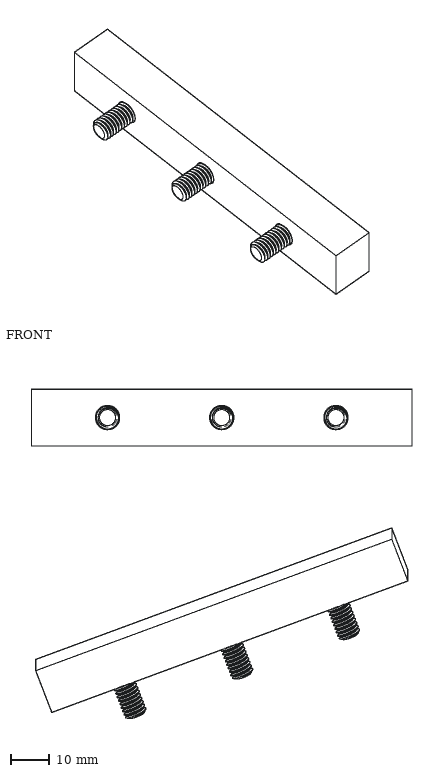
import cadquery as cq
import math

bar_length = 100.0
bar_depth = 12.0
bar_height = 15.0

stud_count = 3
stud_spacing = 30.0
stud_protrusion = 10.0
stud_diameter = 6.0
tip_diameter = 4.2
tip_taper_length = 0.6

hole_diameter = 6.4
hole_depth = 6.0
stud_length = stud_protrusion + hole_depth

thread_pitch = 1.0
flank_half_angle = 30.0
crest_flat = thread_pitch / 8
root_flat = thread_pitch / 4
groove_width = thread_pitch - crest_flat
thread_depth = (groove_width - root_flat) / 2 / math.tan(math.radians(flank_half_angle))
thread_start_angle = 310.0
cutter_overhang = 0.2


def make_bar():
    """Bar with the lower -X corner of its stud face at the origin, and a blind hole for each stud."""
    bar_body = cq.Workplane("XY").box(bar_length, bar_depth, bar_height, centered=False)
    for position in stud_positions():
        hole = cq.Workplane("XZ").circle(hole_diameter / 2).extrude(-hole_depth)
        bar_body = bar_body.cut(hole.translate(position))
    return bar_body


def make_groove_cutter():
    """Helical cutter along Z, running past both ends of the stud."""
    stud_radius = stud_diameter / 2
    root_radius = stud_radius - thread_depth
    outer_radius = stud_radius + cutter_overhang
    flank_slope = math.tan(math.radians(flank_half_angle))
    root_half = root_flat / 2
    outer_half = root_half + (outer_radius - root_radius) * flank_slope
    helix_length = stud_length + 2 * thread_pitch
    helix = cq.Wire.makeHelix(thread_pitch, helix_length, stud_radius)
    profile = cq.Workplane("XZ").polyline([
        (root_radius, -root_half),
        (outer_radius, -outer_half),
        (outer_radius, outer_half),
        (root_radius, root_half),
    ]).close()
    cutter = profile.sweep(cq.Workplane(obj=helix), isFrenet=True)
    return cutter.translate((0, 0, -thread_pitch))


def make_stud():
    """Threaded stud pointing along -Y, with its base at the depth of the hole floor."""
    rod_outline = cq.Workplane("XZ").polyline([
        (0, 0),
        (stud_diameter / 2, 0),
        (stud_diameter / 2, stud_length - tip_taper_length),
        (tip_diameter / 2, stud_length),
        (0, stud_length),
    ]).close()
    rod = rod_outline.revolve(360, (0, 0, 0), (0, 1, 0))
    threaded = cq.Workplane(rod.cut(make_groove_cutter()).solids().val())
    turned = threaded.rotate((0, 0, 0), (0, 0, 1), thread_start_angle)
    return turned.rotate((0, 0, 0), (1, 0, 0), 90).translate((0, hole_depth, 0))


def stud_positions():
    """Points on the stud face of the bar, in a row centred on it."""
    first_x = bar_length / 2 - stud_spacing * (stud_count - 1) / 2
    return [(first_x + index * stud_spacing, 0, bar_height / 2) for index in range(stud_count)]


bar = make_bar()
stud = make_stud()
studs = [stud.translate(position).val() for position in stud_positions()]
result = cq.Compound.makeCompound([bar.val(), *studs])